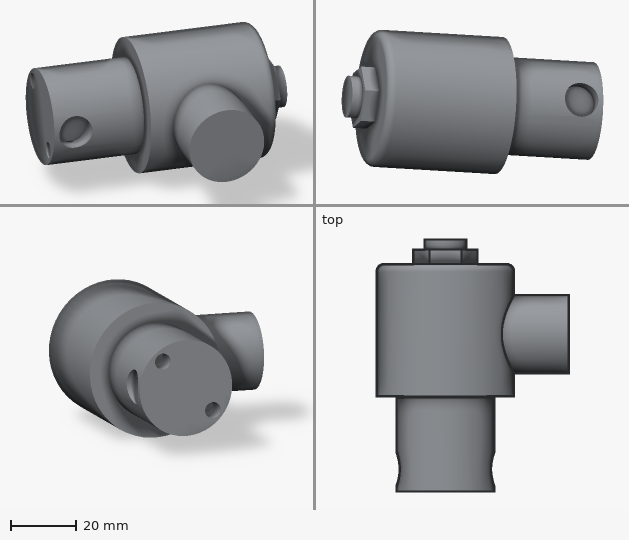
import cadquery as cq
import math

TOTAL_LENGTH = 77.1

BODY_DIAMETER = 29.9
BODY_LENGTH = 28.7
NECK_DIAMETER = 25.75
NECK_LENGTH = 0.4

SIDE_PORT_DIAMETER = 10.6
SIDE_PORT_Y = 6.9
SIDE_PORT_DEPTH = 5.8

MOUNT_HOLE_DIAMETER = 5.0
MOUNT_HOLE_DEPTH = 7.7
MOUNT_HOLE_NEAR = 7.5
MOUNT_HOLE_FAR = 8.7
MOUNT_HOLES_XZ = [(-MOUNT_HOLE_NEAR, MOUNT_HOLE_FAR), (MOUNT_HOLE_FAR, -MOUNT_HOLE_NEAR)]

HOUSING_DIAMETER = 42.0
HOUSING_START_Y = BODY_LENGTH + NECK_LENGTH
HOUSING_END_Y = 69.6
HOUSING_FILLET = 2.3

CONNECTOR_DIAMETER = 24.0
CONNECTOR_Y = 48.1
OVERALL_WIDTH = 58.8
CONNECTOR_END_X = OVERALL_WIDTH - HOUSING_DIAMETER / 2

HEX_ACROSS_FLATS = 17.05
HEX_ACROSS_CORNERS = HEX_ACROSS_FLATS / math.cos(math.pi / 6)
HEX_END_Y = 74.0
STUD_DIAMETER = 12.8


def cylinder_along_y(diameter, start_y, end_y, x=0, z=0):
    axis = cq.Vector(0, 1, 0)
    solid = cq.Solid.makeCylinder(diameter / 2, end_y - start_y, cq.Vector(x, start_y, z), axis)
    return cq.Workplane(solid)


def cylinder_along_x(diameter, start_x, end_x, y):
    axis = cq.Vector(1, 0, 0)
    solid = cq.Solid.makeCylinder(diameter / 2, end_x - start_x, cq.Vector(start_x, y, 0), axis)
    return cq.Workplane(solid)


def make_valve_body():
    body = cylinder_along_y(BODY_DIAMETER, 0, BODY_LENGTH)
    body = body.union(cylinder_along_y(NECK_DIAMETER, BODY_LENGTH, HOUSING_START_Y))

    outer_x = BODY_DIAMETER / 2
    floor_x = outer_x - SIDE_PORT_DEPTH
    for start_x, end_x in [(-outer_x, -floor_x), (floor_x, outer_x)]:
        body = body.cut(cylinder_along_x(SIDE_PORT_DIAMETER, start_x, end_x, SIDE_PORT_Y))

    for x, z in MOUNT_HOLES_XZ:
        body = body.cut(cylinder_along_y(MOUNT_HOLE_DIAMETER, 0, MOUNT_HOLE_DEPTH, x, z))
    return body


def make_hexagon():
    return (
        cq.Workplane("XZ", origin=(0, HOUSING_END_Y, 0))
        .polygon(6, HEX_ACROSS_CORNERS)
        .extrude(HOUSING_END_Y - HEX_END_Y)
    )


def make_coil_housing():
    housing = cylinder_along_y(HOUSING_DIAMETER, HOUSING_START_Y, HOUSING_END_Y)
    housing = housing.faces(">Y").edges().fillet(HOUSING_FILLET)
    connector = cylinder_along_x(CONNECTOR_DIAMETER, 0, CONNECTOR_END_X, CONNECTOR_Y)
    stud = cylinder_along_y(STUD_DIAMETER, HEX_END_Y, TOTAL_LENGTH)
    return housing.union(connector).union(make_hexagon()).union(stud)


valve_body = make_valve_body()
coil_housing = make_coil_housing()

result = cq.Compound.makeCompound([valve_body.val(), coil_housing.val()])